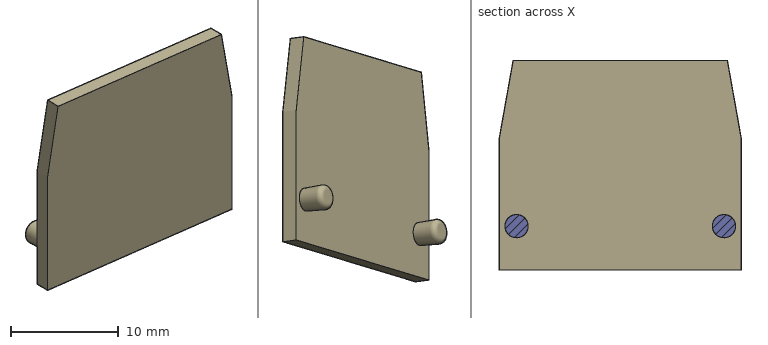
import cadquery as cq

width = 22.5
height = 19.5
thickness = 1.5
top_width = 19.94
shoulder_height = 12.3

pin_length = 2.5
pin_root_radius = 1.08
pin_tip_radius = 1.2
pin_rounding = 0.5
pin_spacing = 19.28
pin_height = 4.1


def make_plate():
    """Rectangular plate with tapered upper sides, its pin side at X = 0."""
    outline = [
        (-width / 2, 0),
        (width / 2, 0),
        (width / 2, shoulder_height),
        (top_width / 2, height),
        (-top_width / 2, height),
        (-width / 2, shoulder_height),
    ]
    return cq.Workplane("YZ").polyline(outline).close().extrude(thickness)


def make_pin(y):
    """Tapered pin pointing toward -X with a rounded free end."""
    pin = (
        cq.Workplane("XY")
        .moveTo(0, 0)
        .lineTo(0, pin_root_radius)
        .lineTo(-pin_length, pin_tip_radius)
        .lineTo(-pin_length, 0)
        .close()
        .revolve(360, (0, 0), (1, 0))
        .faces("<X")
        .edges()
        .fillet(pin_rounding)
    )
    return pin.translate((0, y, pin_height))


result = make_plate()
for side in (-1, 1):
    result = result.union(make_pin(side * pin_spacing / 2))